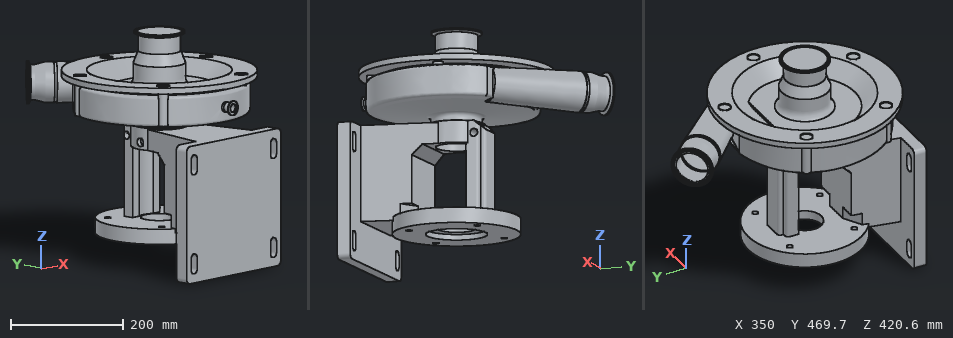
import cadquery as cq
import math


joint_overlap = 1

cover_radius = 175
cover_thickness = 11
dish_rim_radius = 130
dish_floor_radius = 101.5
dish_wall_angle = 45
dish_depth = (dish_rim_radius - dish_floor_radius) * math.tan(math.radians(dish_wall_angle))
pocket_edge_y = 82
pocket_floor_radius = 91
pocket_depth = (dish_floor_radius - pocket_floor_radius) * math.tan(math.radians(dish_wall_angle / 2))

volute_radii = [(100, 149), (180, 154), (225, 155.5), (270, 160), (300, 162), (360, 171), (400, 172.5)]
casing_top_z = -19
casing_bottom_z = -75.5
casing_fillet = 6
lid_inset = 12
lid_top_z = -17
collar_radius = 136
collar_step_radius = 140
collar_step_z = -14
casing_cone_top_radius = 142
casing_cone_bottom_z = -82
casing_cone_radius = 56

neck_radius = 46
neck_flare_end_z = -91
neck_bottom_z = -97.7

inlet_top_z = 70.65
ferrule_thickness = 3
ferrule_bevel = 3
inlet_ferrule_radius = 45.5
inlet_tube_radius = 38.1
inlet_base_radius = 46.7
inlet_cone_top_z = 35
inlet_cone_bottom_z = 13.5
inlet_flare_top_z = -12.5
inlet_flare_radius = 54
gasket_groove_outer_radius = 43
gasket_groove_inner_radius = 40.5
gasket_groove_depth = 1

pipe_face_center = cq.Vector(-63.5, 262.3, -48)
pipe_direction = cq.Vector(1, -1, 0)
pipe_ferrule_radius = 38.75
pipe_tube_radius = 31.75
pipe_sleeve_radius = 36.8
pipe_groove_radius = 36
pipe_root_radius = 37.5
pipe_end_radius = 31.5
pipe_cone_start = 13
pipe_cone_end = 32
pipe_groove_start = 48
pipe_root_start = 53
pipe_length = 230
pipe_wall = 2
pipe_bore_cone_start = 25
pipe_bore_cone_end = 47
pipe_bore_depth = 150
pipe_gasket_groove_outer_radius = 36
pipe_gasket_groove_inner_radius = 33.5

boss_count = 5
boss_circle_radius = 151.5
boss_first_angle = 9
boss_radius = 9.2
boss_bottom_z = -73
bolt_recess_radius = 11.5
bolt_recess_depth = 2

port_z = -47
port_tube_radius = 9.3
port_bore_radius = 7.5
port_rim_radius = 13
port_rim_thickness = 1.5
port_rim_bevel = 2.5
port_face_y = -178.5
port_bore_depth = 16
port_length = 25

plate_size = 250
plate_thickness = 25
plate_front_y = -180
plate_back_y = plate_front_y + plate_thickness
plate_top_z = -100
plate_corner_radius = 10
slot_length = 36
slot_width = 16
slot_spacing_x = 210
slot_spacing_z = 180

hub_radius = 51
hub_bore_radius = 37
hub_bottom_z = -138
hub_screw_z = -125
hub_screw_radius = 7.5
hub_screw_depth = 10

arm_hub_half_width = 48
arm_plate_half_width = 74
arm_hub_y = -14.5
arm_inner_y = -63.5
arm_chamfer = 19
arm_bottom_z = -275
relief_depth_y = 20.5
relief_height = 23
relief_inner_x = 25
relief_outer_x = 61

ring_radius = 115
ring_bore_radius = 33.5
ring_top_z = -268
ring_bottom_z = -296
ring_register_radius = 55
ring_register_depth = 10
ring_bolt_circle_radius = 92.5
ring_bolt_radius = 5.5

post_half_width = 36
post_inner_y = 32
post_step_y = 56
post_outer_y = 66
post_rib_half_width = 24
post_fillet = 6
post_bevel_start_y = 47
post_bevel_height = 16.5
post_hole_y = 47
post_hole_z = -120.2
post_hole_radius = 7


def cylinder(center, radius, bottom_z, top_z):
    disc = cq.Workplane("XY").center(*center).circle(radius).extrude(top_z - bottom_z)
    return disc.translate((0, 0, bottom_z))


def turned_around_z(profile):
    """Revolve a closed (radius, Z) profile around the pump axis."""
    return profile.close().revolve(360, (0, 0, 0), (0, 1, 0))


def turned_along(origin, direction, points):
    """Revolve (radius, distance) points around a level axis through origin."""
    plane = cq.Plane(origin=origin, xDir=(0, 0, 1), normal=cq.Vector(0, 0, 1).cross(direction))
    return cq.Workplane(plane).polyline(points).close().revolve(360, (0, 0, 0), (0, 1, 0))


def polar_point(radius, degrees):
    angle = math.radians(degrees)
    return (radius * math.cos(angle), radius * math.sin(angle))


def volute(inset, bottom_z, top_z):
    """Block with the casing outline; the straight closing side lies at the discharge pipe."""
    points = [polar_point(radius - inset, degrees) for degrees, radius in volute_radii]
    block = cq.Workplane("XY", origin=(0, 0, bottom_z)).spline(points).close()
    return block.extrude(top_z - bottom_z)


def casing():
    body = volute(0, casing_bottom_z, casing_top_z)
    body = body.edges("not |Z").fillet(casing_fillet)
    lid = volute(lid_inset, casing_top_z, lid_top_z)
    collar_step = cylinder((0, 0), collar_step_radius, lid_top_z, collar_step_z)
    collar = cylinder((0, 0), collar_radius, collar_step_z, -cover_thickness)
    return body.union(lid).union(collar_step).union(collar)


def cover_plate():
    return cylinder((0, 0), cover_radius, -cover_thickness, 0)


def lower_neck():
    flare_radius = casing_cone_bottom_z - neck_flare_end_z
    profile = (
        cq.Workplane("XZ")
        .moveTo(0, casing_bottom_z + joint_overlap)
        .lineTo(casing_cone_top_radius, casing_bottom_z + joint_overlap)
        .lineTo(casing_cone_top_radius, casing_bottom_z)
        .lineTo(casing_cone_radius, casing_cone_bottom_z)
        .lineTo(neck_radius + flare_radius, casing_cone_bottom_z)
        .radiusArc((neck_radius, neck_flare_end_z), -flare_radius)
        .lineTo(neck_radius, neck_bottom_z)
        .lineTo(0, neck_bottom_z)
    )
    return turned_around_z(profile)


def bolt_points():
    spacing = 360 / boss_count
    return [
        polar_point(boss_circle_radius, boss_first_angle + number * spacing)
        for number in range(boss_count)
    ]


def dish():
    """Conical recess in the cover, with a straight-edged deeper pocket at the back of its floor."""
    cone = turned_around_z(
        cq.Workplane("XZ")
        .lineTo(dish_rim_radius, 0)
        .lineTo(dish_floor_radius, -dish_depth)
        .lineTo(0, -dish_depth)
    )
    pocket_radius = (dish_floor_radius - pocket_floor_radius) / math.sin(math.radians(dish_wall_angle))
    pocket = turned_around_z(
        cq.Workplane("XZ")
        .moveTo(0, -dish_depth)
        .lineTo(dish_floor_radius, -dish_depth)
        .radiusArc((pocket_floor_radius, -dish_depth - pocket_depth), pocket_radius)
        .lineTo(0, -dish_depth - pocket_depth)
    )
    back_side = cq.Workplane("XY").box(2 * cover_radius, cover_radius, 2 * cover_radius)
    back_side = back_side.translate((0, pocket_edge_y + cover_radius / 2, 0))
    return cone.union(pocket.intersect(back_side))


def inlet():
    ferrule_bottom_z = inlet_top_z - ferrule_thickness
    flare_drop = dish_depth + inlet_flare_top_z
    flare_width = inlet_flare_radius - inlet_base_radius
    flare_arc_radius = (flare_drop**2 + flare_width**2) / (2 * flare_width)
    profile = (
        cq.Workplane("XZ")
        .moveTo(0, inlet_top_z)
        .lineTo(inlet_ferrule_radius, inlet_top_z)
        .lineTo(inlet_ferrule_radius, ferrule_bottom_z)
        .lineTo(inlet_tube_radius, ferrule_bottom_z - ferrule_bevel)
        .lineTo(inlet_tube_radius, inlet_cone_top_z)
        .lineTo(inlet_base_radius, inlet_cone_bottom_z)
        .lineTo(inlet_base_radius, inlet_flare_top_z)
        .radiusArc((inlet_flare_radius, -dish_depth), -flare_arc_radius)
        .lineTo(inlet_flare_radius, -dish_depth - joint_overlap)
        .lineTo(0, -dish_depth - joint_overlap)
    )
    groove = cq.Workplane("XY", origin=(0, 0, inlet_top_z - gasket_groove_depth))
    groove = groove.circle(gasket_groove_outer_radius).circle(gasket_groove_inner_radius)
    return turned_around_z(profile).cut(groove.extrude(gasket_groove_depth))


def discharge_pipe():
    points = [
        (0, 0),
        (pipe_ferrule_radius, 0),
        (pipe_ferrule_radius, ferrule_thickness),
        (pipe_tube_radius, ferrule_thickness + ferrule_bevel),
        (pipe_tube_radius, pipe_cone_start),
        (pipe_sleeve_radius, pipe_cone_end),
        (pipe_sleeve_radius, pipe_groove_start),
        (pipe_groove_radius, pipe_groove_start),
        (pipe_groove_radius, pipe_root_start),
        (pipe_root_radius, pipe_root_start),
        (pipe_end_radius, pipe_length),
        (0, pipe_length),
    ]
    groove_points = [
        (pipe_gasket_groove_inner_radius, 0),
        (pipe_gasket_groove_outer_radius, 0),
        (pipe_gasket_groove_outer_radius, gasket_groove_depth),
        (pipe_gasket_groove_inner_radius, gasket_groove_depth),
    ]
    pipe = turned_along(pipe_face_center, pipe_direction, points)
    return pipe.cut(turned_along(pipe_face_center, pipe_direction, groove_points))


def discharge_bore():
    bore_radius = pipe_tube_radius - pipe_wall
    sleeve_bore_radius = pipe_sleeve_radius - pipe_wall
    points = [
        (0, 0),
        (bore_radius, 0),
        (bore_radius, pipe_bore_cone_start),
        (sleeve_bore_radius, pipe_bore_cone_end),
        (sleeve_bore_radius, pipe_root_start),
        (pipe_end_radius - pipe_wall, pipe_bore_depth),
        (0, pipe_bore_depth),
    ]
    return turned_along(pipe_face_center, pipe_direction, points)


def drain_port():
    face_center = cq.Vector(0, port_face_y, port_z)
    bevel_end = port_rim_thickness + port_rim_bevel
    points = [
        (0, 0),
        (port_rim_radius, 0),
        (port_rim_radius, port_rim_thickness),
        (port_tube_radius, bevel_end),
        (port_tube_radius, port_length),
        (0, port_length),
    ]
    return turned_along(face_center, cq.Vector(0, 1, 0), points)


def drain_bore():
    bore = cq.Workplane("XZ", origin=(0, port_face_y, port_z)).circle(port_bore_radius)
    return bore.extrude(-port_bore_depth)


def build_pump():
    pump = casing().union(lower_neck()).union(discharge_pipe()).union(cover_plate())
    for point in bolt_points():
        pump = pump.union(cylinder(point, boss_radius, boss_bottom_z, -cover_thickness / 2))
    for point in bolt_points():
        pump = pump.cut(cylinder(point, bolt_recess_radius, -bolt_recess_depth, 0))
    pump = pump.cut(dish()).union(inlet()).union(drain_port())
    return pump.cut(discharge_bore()).cut(drain_bore())


def wall_plate():
    middle = (0, plate_front_y, plate_top_z - plate_size / 2)
    front = cq.Workplane("XZ", origin=middle)
    plate = front.rect(plate_size, plate_size).extrude(-plate_thickness)
    plate = plate.edges("|Y").fillet(plate_corner_radius)
    slots = front.rarray(slot_spacing_x, slot_spacing_z, 2, 2).slot2D(slot_length, slot_width, 90)
    return plate.cut(slots.extrude(-plate_thickness))


def arm():
    """Tapered web: flared in plan, stepped in side profile, with bolt relief at its lower inner corners."""
    plan = (
        cq.Workplane("XY", origin=(0, 0, arm_bottom_z))
        .moveTo(-arm_hub_half_width, arm_hub_y)
        .lineTo(arm_hub_half_width, arm_hub_y)
        .lineTo(arm_plate_half_width, plate_back_y)
        .lineTo(-arm_plate_half_width, plate_back_y)
        .close()
        .extrude(plate_top_z - arm_bottom_z)
    )
    side = (
        cq.Workplane("YZ", origin=(-arm_plate_half_width, 0, 0))
        .moveTo(plate_back_y, plate_top_z)
        .lineTo(arm_hub_y, plate_top_z)
        .lineTo(arm_hub_y, hub_bottom_z)
        .lineTo(arm_inner_y + arm_chamfer, hub_bottom_z)
        .lineTo(arm_inner_y, hub_bottom_z - arm_chamfer)
        .lineTo(arm_inner_y, arm_bottom_z)
        .lineTo(plate_back_y, arm_bottom_z)
        .close()
        .extrude(2 * arm_plate_half_width)
    )
    web = plan.intersect(side)
    for direction in (-1, 1):
        relief = (
            cq.Workplane("XY", origin=(0, 0, ring_top_z))
            .moveTo(direction * relief_inner_x, arm_inner_y)
            .lineTo(direction * relief_outer_x, arm_inner_y - relief_depth_y)
            .lineTo(direction * relief_outer_x, arm_inner_y)
            .close()
            .extrude(relief_height)
        )
        web = web.cut(relief)
    return web


def post():
    """Upright behind the axis with a rib on its back, rounded outer edges and a bevelled top."""
    upright = cq.Workplane("XY")
    for half_width, back_y in ((post_half_width, post_step_y), (post_rib_half_width, post_outer_y)):
        block = cq.Workplane("XY").box(
            2 * half_width, back_y - post_inner_y, neck_bottom_z - ring_top_z, (True, False, False)
        )
        block = block.edges("|Z and >Y").fillet(post_fillet).translate((0, post_inner_y, ring_top_z))
        upright = upright.add(block)
    upright = upright.combine()
    bevel = (
        cq.Workplane("YZ", origin=(-post_half_width, 0, 0))
        .moveTo(post_bevel_start_y, neck_bottom_z)
        .lineTo(post_outer_y, neck_bottom_z)
        .lineTo(post_outer_y, neck_bottom_z - post_bevel_height)
        .close()
        .extrude(2 * post_half_width)
    )
    return upright.cut(bevel)


def base_ring():
    ring = cylinder((0, 0), ring_radius, ring_bottom_z, ring_top_z)
    offset = ring_bolt_circle_radius / math.sqrt(2)
    bolts = cq.Workplane("XY", origin=(0, 0, ring_bottom_z)).rarray(2 * offset, 2 * offset, 2, 2)
    bolts = bolts.circle(ring_bolt_radius).extrude(ring_top_z - ring_bottom_z)
    ring = ring.cut(bolts)
    register = cylinder((0, 0), ring_register_radius, ring_bottom_z, ring_bottom_z + ring_register_depth)
    return ring.cut(register).cut(cylinder((0, 0), ring_bore_radius, ring_bottom_z, ring_top_z))


def build_bracket():
    hub = cylinder((0, 0), hub_radius, hub_bottom_z, neck_bottom_z)
    upper = hub.union(arm()).union(post())
    upper = upper.cut(cylinder((0, 0), hub_bore_radius, ring_top_z, neck_bottom_z))
    post_hole = cq.Workplane("YZ", origin=(-hub_radius, 0, 0)).center(post_hole_y, post_hole_z)
    upper = upper.cut(post_hole.circle(post_hole_radius).extrude(2 * hub_radius))
    screw = cq.Workplane("YZ", origin=(-hub_radius, 0, 0)).center(0, hub_screw_z)
    upper = upper.cut(screw.circle(hub_screw_radius).extrude(hub_screw_depth))
    return upper.union(base_ring()).union(wall_plate())


pump = build_pump()
bracket = build_bracket()

result = cq.Compound.makeCompound([pump.solids().val(), bracket.solids().val()])